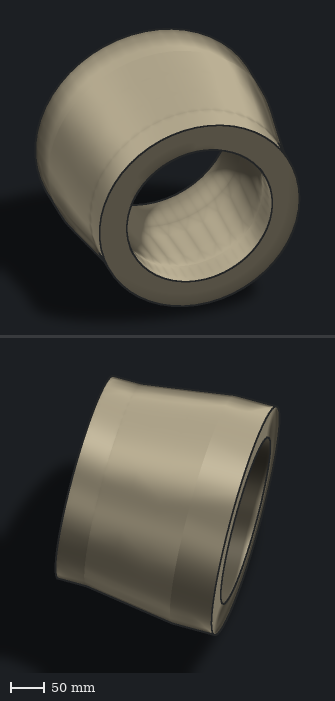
import cadquery as cq

large_outer_diameter = 355.0
large_bore_diameter = 258.0
small_outer_diameter = 315.0
small_bore_diameter = 229.0

total_length = 250.0
large_end_length = 65.0
small_end_length = 45.0
taper_end = total_length - small_end_length


def stepped_taper(large_diameter, small_diameter):
    """Solid of revolution: large cylinder, cone, then small cylinder."""
    large_radius = large_diameter / 2
    small_radius = small_diameter / 2
    return (
        cq.Workplane("XY")
        .lineTo(0, large_radius)
        .lineTo(large_end_length, large_radius)
        .lineTo(taper_end, small_radius)
        .lineTo(total_length, small_radius)
        .lineTo(total_length, 0)
        .close()
        .revolve(360, (0, 0, 0), (1, 0, 0))
    )


body = stepped_taper(large_outer_diameter, small_outer_diameter)
bore = stepped_taper(large_bore_diameter, small_bore_diameter)

result = body.cut(bore)